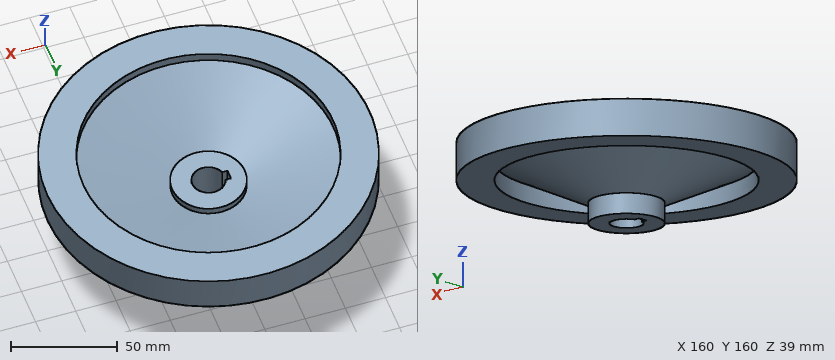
import cadquery as cq

rim_diameter = 160.0
rim_bore_diameter = 124.0
rim_width = 18.0

hub_diameter = 36.0
hub_length = 20.0
bore_diameter = 16.0
keyway_width = 5.0
keyway_reach = 10.3

overall_height = 39.0
web_bottom_at_hub = 10.0
web_top_at_hub = 16.6
web_bottom_at_rim = 30.0
web_top_at_rim = 34.5

rim_radius = rim_diameter / 2
rim_bore_radius = rim_bore_diameter / 2
hub_radius = hub_diameter / 2
bore_radius = bore_diameter / 2
rim_bottom = overall_height - rim_width


def make_wheel():
    """Hub, dished web and rim turned as one half-section about the Z axis."""
    section = (
        cq.Workplane("XZ")
        .moveTo(bore_radius, 0)
        .lineTo(hub_radius, 0)
        .lineTo(hub_radius, web_bottom_at_hub)
        .lineTo(rim_bore_radius, web_bottom_at_rim)
        .lineTo(rim_bore_radius, rim_bottom)
        .lineTo(rim_radius, rim_bottom)
        .lineTo(rim_radius, overall_height)
        .lineTo(rim_bore_radius, overall_height)
        .lineTo(rim_bore_radius, web_top_at_rim)
        .lineTo(hub_radius, web_top_at_hub)
        .lineTo(hub_radius, hub_length)
        .lineTo(bore_radius, hub_length)
        .close()
    )
    return section.revolve(360, (0, 0, 0), (0, 1, 0))


def make_keyway():
    """Slot through the hub on the -X side of the bore."""
    return cq.Workplane("XY").box(
        keyway_reach, keyway_width, hub_length, centered=(False, True, False)
    ).translate((-keyway_reach, 0, 0))


result = make_wheel().cut(make_keyway())